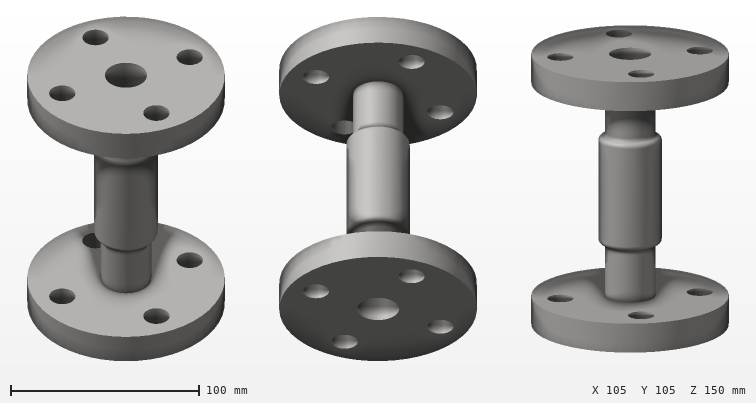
import cadquery as cq
import math

total_height = 150.0
flange_diameter = 105.0
flange_thickness = 16.0

pipe_diameter = 26.8
bore_diameter = 22.4
sleeve_diameter = 33.8
sleeve_straight_length = 54.5
shoulder_length = 5.0

bolt_circle_diameter = 75.0
bolt_hole_diameter = 14.0
bolt_hole_count = 4
first_bolt_angle = 45.0

flange_face_z = total_height / 2
flange_back_z = flange_face_z - flange_thickness
sleeve_edge_z = sleeve_straight_length / 2
pipe_edge_z = sleeve_edge_z + shoulder_length
flange_radius = flange_diameter / 2
pipe_radius = pipe_diameter / 2
sleeve_radius = sleeve_diameter / 2

shoulder_step = sleeve_radius - pipe_radius
arc_radius = (shoulder_step**2 + shoulder_length**2) / (4 * shoulder_step)
arc_angle = math.asin(shoulder_length / 2 / arc_radius)
shoulder_mid = ((sleeve_radius + pipe_radius) / 2, (sleeve_edge_z + pipe_edge_z) / 2)

arc_mid_inset = arc_radius * (1 - math.cos(arc_angle / 2))
arc_mid_travel = arc_radius * math.sin(arc_angle / 2)
sleeve_arc_mid = (sleeve_radius - arc_mid_inset, sleeve_edge_z + arc_mid_travel)
pipe_arc_mid = (pipe_radius + arc_mid_inset, pipe_edge_z - arc_mid_travel)


def make_sleeve():
    """Straight stretch of the sleeve between the two shoulders."""
    lower_edge = cq.Workplane("XY").workplane(offset=-sleeve_edge_z)
    return lower_edge.circle(sleeve_radius).extrude(sleeve_straight_length)


def make_upper_end():
    """Shoulder, bare pipe and flange above the sleeve, still without holes."""
    return (
        cq.Workplane("XZ")
        .moveTo(0, sleeve_edge_z)
        .lineTo(sleeve_radius, sleeve_edge_z)
        .threePointArc(sleeve_arc_mid, shoulder_mid)
        .threePointArc(pipe_arc_mid, (pipe_radius, pipe_edge_z))
        .lineTo(pipe_radius, flange_back_z)
        .lineTo(flange_radius, flange_back_z)
        .lineTo(flange_radius, flange_face_z)
        .lineTo(0, flange_face_z)
        .close()
        .revolve(360, (0, 0, 0), (0, 1, 0))
    )


def make_bore():
    """Straight bore through the whole length."""
    lower_face = cq.Workplane("XY").workplane(offset=-flange_face_z)
    return lower_face.circle(bore_diameter / 2).extrude(total_height)


def make_bolt_holes():
    """Holes running through both flanges."""
    lower_face = cq.Workplane("XY").workplane(offset=-flange_face_z)
    return (
        lower_face
        .polarArray(bolt_circle_diameter / 2, first_bolt_angle, 360, bolt_hole_count)
        .circle(bolt_hole_diameter / 2)
        .extrude(total_height)
    )


upper_end = make_upper_end()
body = make_sleeve().union(upper_end).union(upper_end.mirror("XY"))
result = body.cut(make_bore()).cut(make_bolt_holes())